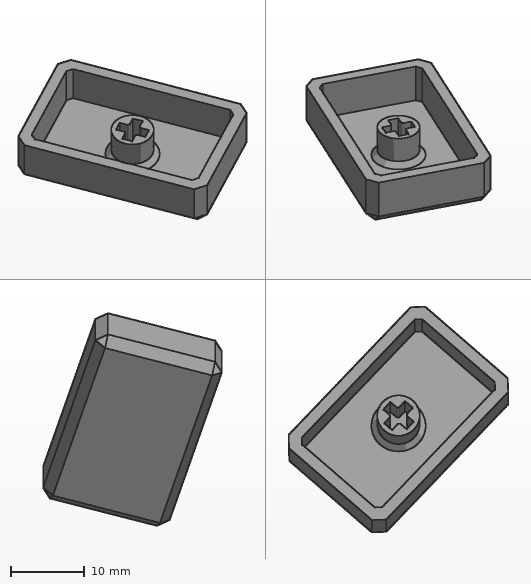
import cadquery as cq
import math

overall_x = 27.77
tray_width = 18.05
tray_height = 6.9
tray_chamfer = 1.4
turn_degrees = 0.8

turn = math.radians(turn_degrees)
short_side_straight = tray_width - 2 * tray_chamfer
tray_length = (overall_x - short_side_straight * math.sin(turn)) / math.cos(turn)

wall = 1.6
floor_thickness = 1.4
cavity_chamfer = 0.7

stem_diameter = 5.8
foot_flare = 0.8
stem_height = 4.5
socket_span = 4.25
socket_slot = 1.45
socket_corner_radius = 0.3


def make_tray():
    """Chamfered block with a chamfer-cornered cavity."""
    block = (
        cq.Workplane("XY")
        .box(tray_length, tray_width, tray_height, centered=(True, True, False))
        .edges("|Z or <Z")
        .chamfer(tray_chamfer)
    )
    cavity = (
        cq.Workplane("XY", origin=(0, 0, floor_thickness))
        .rect(tray_length - 2 * wall, tray_width - 2 * wall)
        .extrude(tray_height - floor_thickness)
        .edges("|Z")
        .chamfer(cavity_chamfer)
    )
    return block.cut(cavity).rotate((0, 0, 0), (0, 0, 1), -turn_degrees)


def make_stem():
    """Round post with a 45 degree conical foot, revolved about Z."""
    radius = stem_diameter / 2
    return (
        cq.Workplane("XZ")
        .moveTo(0, 0)
        .lineTo(radius + foot_flare, 0)
        .lineTo(radius, foot_flare)
        .lineTo(radius, stem_height)
        .lineTo(0, stem_height)
        .close()
        .revolve(360, (0, 0, 0), (0, 1, 0))
        .translate((0, 0, floor_thickness))
    )


def make_socket():
    """Cross-shaped cutter running from the cavity floor to the stem top."""
    base = cq.Workplane("XY", origin=(0, 0, floor_thickness))
    along_x = base.rect(socket_span, socket_slot).extrude(stem_height)
    along_y = base.rect(socket_slot, socket_span).extrude(stem_height)
    inner_corners = cq.selectors.BoxSelector(
        (-socket_slot, -socket_slot, 0),
        (socket_slot, socket_slot, tray_height),
    )
    return along_x.union(along_y).edges("|Z").edges(inner_corners).fillet(socket_corner_radius)


result = make_tray().union(make_stem()).cut(make_socket())